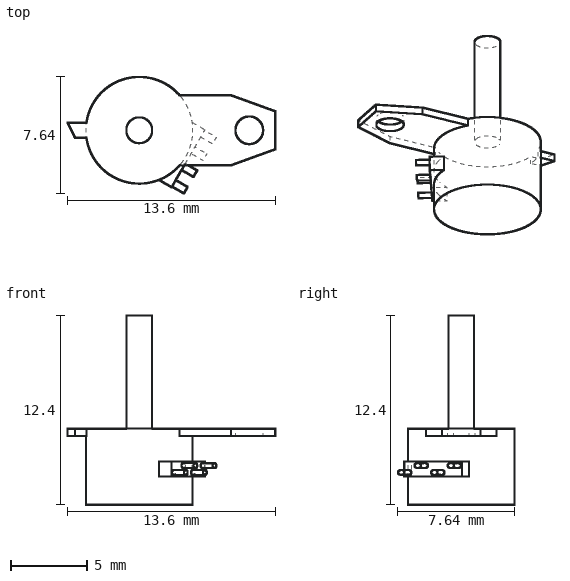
import cadquery as cq

body_diameter = 7.0
body_height = 5.0

shaft_diameter = 1.7
overall_height = 12.4

plate_thickness = 0.5
plate_end_x = 8.9
plate_taper_start_x = 6.0
plate_width = 4.6
plate_end_width = 2.5
mounting_hole_x = 7.2
mounting_hole_diameter = 1.8

tab_width = 1.0
tab_tip_x = -4.7
tab_short_edge_x = -4.2

terminal_angle = -30.0
terminal_face_distance = 3.7
terminal_width = 4.35
terminal_height = 1.0
terminal_center_z = 2.35

pin_length = 0.9
pin_width = 0.5
pin_height = 0.33
pin_count = 4
pin_pitch = 1.25
pin_row_spacing = 0.45

plate_bottom_z = body_height - plate_thickness


def upright_cylinder(diameter, height):
    return cq.Workplane("XY").circle(diameter / 2).extrude(height)


def plate_prism(points):
    """Flat prism that fills the thickness of the mounting plate."""
    return (
        cq.Workplane("XY")
        .workplane(offset=plate_bottom_z)
        .polyline(points)
        .close()
        .extrude(plate_thickness)
    )


def make_mounting_arm():
    half_width = plate_width / 2
    half_end = plate_end_width / 2
    arm = plate_prism([
        (0, -half_width),
        (plate_taper_start_x, -half_width),
        (plate_end_x, -half_end),
        (plate_end_x, half_end),
        (plate_taper_start_x, half_width),
        (0, half_width),
    ])
    hole = upright_cylinder(mounting_hole_diameter, body_height)
    return arm.cut(hole.translate((mounting_hole_x, 0, 0)))


def make_locating_tab():
    half_width = tab_width / 2
    return plate_prism([
        (0, half_width),
        (tab_tip_x, half_width),
        (tab_short_edge_x, -half_width),
        (0, -half_width),
    ])


def make_terminals():
    """Block with two staggered rows of oval pins, built facing +X, then turned into place."""
    terminals = cq.Workplane("XY").box(
        terminal_face_distance, terminal_width, terminal_height, centered=(False, True, True)
    )
    for index in range(pin_count):
        pin_y = (index - (pin_count - 1) / 2) * pin_pitch
        row_side = -1 if index % 2 == 0 else 1
        pin = (
            cq.Workplane("YZ")
            .center(pin_y, row_side * pin_row_spacing / 2)
            .ellipse(pin_width / 2, pin_height / 2)
            .extrude(terminal_face_distance + pin_length)
        )
        terminals = terminals.union(pin)
    return (
        terminals
        .rotate((0, 0, 0), (0, 0, 1), terminal_angle)
        .translate((0, 0, terminal_center_z))
    )


result = (
    upright_cylinder(body_diameter, body_height)
    .union(upright_cylinder(shaft_diameter, overall_height))
    .union(make_mounting_arm())
    .union(make_locating_tab())
    .union(make_terminals())
)